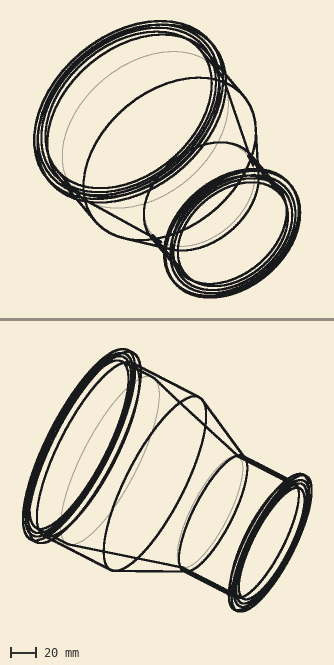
import cadquery as cq

length = 177.8

large_tube_diameter = 152.4
large_bore_diameter = 146.9
small_tube_diameter = 101.5
small_bore_diameter = 97.5

outer_taper_start = 70.0
outer_taper_end = 123.7
bore_taper_start = 28.5
bore_taper_end = 120.9

large_flange_diameter = 167.0
large_rim_width = 5.2
large_slope_width = 3.2
small_flange_diameter = 119.0
small_rim_width = 2.7
small_slope_width = 3.7

groove_width = 2.8
groove_depth = 1.0
groove_bore_gap = 3.7


def revolve_about_x(profile):
    """Turn a closed (x, radius) profile fully around the X axis."""
    return profile.close().revolve(360, (0, 0, 0), (1, 0, 0))


def outer_body():
    large_tube_radius = large_tube_diameter / 2
    small_tube_radius = small_tube_diameter / 2
    large_flange_radius = large_flange_diameter / 2
    small_flange_radius = small_flange_diameter / 2
    profile = (
        cq.Workplane("XY")
        .lineTo(0, large_flange_radius)
        .lineTo(large_rim_width, large_flange_radius)
        .lineTo(large_rim_width + large_slope_width, large_tube_radius)
        .lineTo(outer_taper_start, large_tube_radius)
        .lineTo(outer_taper_end, small_tube_radius)
        .lineTo(length - small_rim_width - small_slope_width, small_tube_radius)
        .lineTo(length - small_rim_width, small_flange_radius)
        .lineTo(length, small_flange_radius)
        .lineTo(length, 0)
    )
    return revolve_about_x(profile)


def bore():
    profile = (
        cq.Workplane("XY")
        .lineTo(0, large_bore_diameter / 2)
        .lineTo(bore_taper_start, large_bore_diameter / 2)
        .lineTo(bore_taper_end, small_bore_diameter / 2)
        .lineTo(length, small_bore_diameter / 2)
        .lineTo(length, 0)
    )
    return revolve_about_x(profile)


def gasket_groove(face_x, inward, bore_diameter):
    """Ring cut into the face at face_x; inward is the X sign pointing into the part."""
    inner_radius = bore_diameter / 2 + groove_bore_gap
    deepest_point = (face_x + inward * groove_depth, inner_radius + groove_width / 2)
    profile = (
        cq.Workplane("XY")
        .moveTo(face_x, inner_radius)
        .threePointArc(deepest_point, (face_x, inner_radius + groove_width))
    )
    return revolve_about_x(profile)


result = (
    outer_body()
    .cut(bore())
    .cut(gasket_groove(0, 1, large_bore_diameter))
    .cut(gasket_groove(length, -1, small_bore_diameter))
)